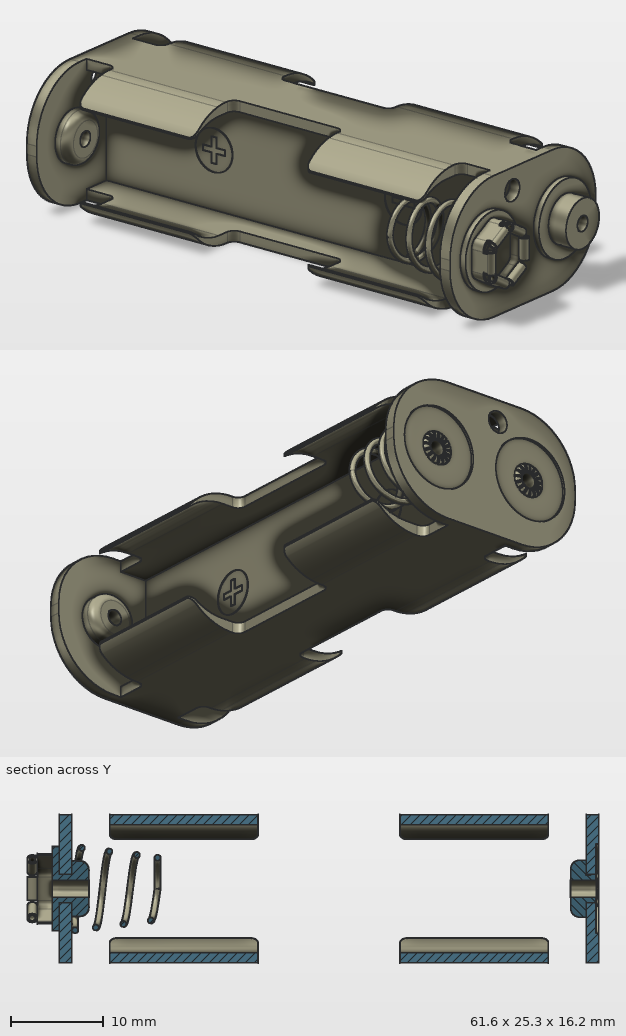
import cadquery as cq
import math


housing_length = 58.12
plate_width = 25.3
plate_height = 16.24
plate_corner_radius = 7.5
plate_thickness = 1.37
cell_offset = 6.37
cell_bay_radius = 6.85
web_thickness = 1.1
spine_half_width = 4.0
shell_half_span = 10.7
shell_start = 5.43
shell_length = 16.0
shell_tip_radius = 0.75
shell_root_radius = 0.95
shoulder_end = 6.6
shell_outer_radius = 7.0
wire_hole_diameter = 2.55
wire_hole_y = -1.86
wire_hole_z = 5.5
recess_diameter = 9.6
recess_depth = 0.3

mark_diameter = 5.06
mark_depth = 0.1
mark_bar_length = 3.05
mark_bar_width = 0.65
plus_mark_x = 16.1
minus_mark_x = 42.1

bore_diameter = 1.8
shank_diameter = 3.0
button_fillet = 1.0
plain_button_diameter = 6.2
plain_button_height = 1.7
snap_button_diameter = 6.0
snap_button_height = 1.85
curl_diameter = 3.9
curl_slit_count = 16
curl_slit_width = 0.2
flange_diameter = 9.1
flange_thickness = 0.74
stud_diameter = 5.78
stud_height = 2.4
socket_across_flats = 6.95
socket_height = 2.71
socket_wall = 0.22
socket_corner_radius = 1.28
bead_radius = 0.56
petal_slot_depth = 2 * bead_radius

wire_radius = 0.34
wire_clearance = 0.01
spring_tip_radius = 3.33
spring_base_radius = 4.48
spring_pitch = 2.96
active_turns = 3
tip_flat_turns = 0.75
base_flat_turns = 0.25
tail_turns = 0.5
tail_radius = 2.7
points_per_turn = 24

half_height = plate_height / 2


def end_plate():
    return (
        cq.Workplane("YZ")
        .rect(plate_width, plate_height)
        .extrude(plate_thickness)
        .edges("|X")
        .fillet(plate_corner_radius)
    )


def deck_section():
    """Upper deck with both shells at full length."""
    corner_y = plate_width / 2 - plate_corner_radius
    corner_z = half_height - plate_corner_radius
    lean = math.asin((shoulder_end - corner_y) / plate_corner_radius)
    shoulder_z = corner_z + plate_corner_radius * math.cos(lean)

    def shoulder(angle):
        return (
            corner_y + plate_corner_radius * math.sin(angle),
            corner_z + plate_corner_radius * math.cos(angle),
        )

    shell_y = shoulder_end - shell_outer_radius * math.sin(lean)
    shell_z = shoulder_z - shell_outer_radius * math.cos(lean)
    tip_lean = math.asin((shell_half_span - shell_y) / shell_outer_radius)

    def shell(angle):
        return (
            shell_y + shell_outer_radius * math.sin(angle),
            shell_z + shell_outer_radius * math.cos(angle),
        )

    bay_lean = math.asin((shell_half_span - cell_offset) / cell_bay_radius)

    def bay(angle):
        return (
            cell_offset + cell_bay_radius * math.sin(angle),
            cell_bay_radius * math.cos(angle),
        )

    half = (
        cq.Workplane("YZ")
        .moveTo(0, half_height)
        .lineTo(corner_y, half_height)
        .threePointArc(shoulder(lean / 2), shoulder(lean))
        .threePointArc(shell((lean + tip_lean) / 2), shell(tip_lean))
        .lineTo(*bay(bay_lean))
        .threePointArc(bay(bay_lean / 2), bay(0))
        .lineTo(0, cell_bay_radius)
        .close()
        .extrude(housing_length)
    )
    return half.union(half.mirror("XZ"))


def deck_outline():
    """Plan shape of the deck: a spine with two pads that become the shells."""
    plan = cq.Workplane("XY").box(
        housing_length, 2 * spine_half_width, plate_height, centered=(False, True, True)
    )
    for start in (shell_start, housing_length - shell_start - shell_length):
        pad = (
            cq.Workplane("XY")
            .box(shell_length, 2 * shell_half_span, plate_height, centered=(False, True, True))
            .edges("|Z")
            .fillet(shell_tip_radius)
            .translate((start, 0, 0))
        )
        plan = plan.union(pad)

    def is_root(edge):
        middle = edge.Center()
        on_spine_side = abs(abs(middle.y) - spine_half_width) < shell_root_radius
        return on_spine_side and plate_thickness < middle.x < housing_length - plate_thickness

    roots = plan.edges("|Z").filter(is_root)
    return plan.newObject(roots.vals()).fillet(shell_root_radius)


def polarity_mark(is_plus):
    """Disc with a raised symbol, as a cutter standing on the XZ plane and reaching toward +Y."""
    disc = cq.Workplane("XZ").circle(mark_diameter / 2).extrude(-mark_depth)
    disc = disc.cut(cq.Workplane("XZ").rect(mark_bar_length, mark_bar_width).extrude(-mark_depth))
    if is_plus:
        disc = disc.cut(cq.Workplane("XZ").rect(mark_bar_width, mark_bar_length).extrude(-mark_depth))
    return disc


def turned_end_for_end(shape):
    """Half turn about the vertical line through the middle of the housing."""
    middle = housing_length / 2
    return shape.rotate((middle, 0, 0), (middle, 0, 1), 180)


def build_housing():
    deck = deck_section().intersect(deck_outline())
    web = cq.Workplane("XY").box(
        housing_length, web_thickness, plate_height, centered=(False, True, True)
    )
    far_plate = end_plate().translate((housing_length - plate_thickness, 0, 0))
    body = deck.union(deck.mirror("XY")).union(web).union(end_plate()).union(far_plate)

    for plate_start in (0, housing_length - plate_thickness):
        holes = (
            cq.Workplane("YZ", origin=(plate_start, 0, 0))
            .pushPoints([(-cell_offset, 0), (cell_offset, 0)])
            .circle(shank_diameter / 2)
            .extrude(plate_thickness)
        )
        wire_hole = (
            cq.Workplane("YZ", origin=(plate_start, wire_hole_y, wire_hole_z))
            .circle(wire_hole_diameter / 2)
            .extrude(plate_thickness)
        )
        body = body.cut(holes).cut(wire_hole)

    recesses = (
        cq.Workplane("YZ")
        .pushPoints([(-cell_offset, 0), (cell_offset, 0)])
        .circle(recess_diameter / 2)
        .extrude(recess_depth)
    )
    body = body.cut(recesses)

    for mark_x, is_plus in ((plus_mark_x, True), (minus_mark_x, False)):
        mark = polarity_mark(is_plus).translate((mark_x, -web_thickness / 2, 0))
        body = body.cut(mark).cut(turned_end_for_end(mark))
    return body




def disc_along_x(start, length, diameter):
    return cq.Workplane("YZ", origin=(start, 0, 0)).circle(diameter / 2).extrude(length)


def button(diameter, height, shank_length):
    head = disc_along_x(-height, height, diameter).faces("<X").edges().fillet(button_fillet)
    return head.union(disc_along_x(0, shank_length, shank_diameter))


def bored(contact):
    box = contact.val().BoundingBox()
    return contact.cut(disc_along_x(box.xmin, box.xlen, bore_diameter))


def coil_point(x, radius, turn):
    """Wire centre at a number of turns past the mid height of the open side (-Y)."""
    angle = 2 * math.pi * turn
    return cq.Vector(x, -radius * math.cos(angle), -radius * math.sin(angle))


def coil(first_turn, last_turn, first_x, last_x, first_radius, last_radius):
    """Length of wire whose position and radius change evenly with the turns."""
    steps = round((last_turn - first_turn) * points_per_turn)
    points = []
    for step in range(steps + 1):
        part = step / steps
        x = first_x + (last_x - first_x) * part
        radius = first_radius + (last_radius - first_radius) * part
        points.append(coil_point(x, radius, first_turn + (last_turn - first_turn) * part))
    path = cq.Edge.makeSpline(points)
    start = cq.Plane(origin=path.startPoint(), normal=path.tangentAt(0))
    return cq.Workplane(start).circle(wire_radius).sweep(cq.Workplane(obj=path))


def spring():
    """Conical spring: flat tip coil, open turns, flat base coil and a tail under the button."""
    base_x = -wire_radius - wire_clearance
    tip_x = base_x - spring_pitch * active_turns
    base_end = active_turns + base_flat_turns
    tip_coil = coil(-tip_flat_turns, 0, tip_x, tip_x, spring_tip_radius, spring_tip_radius)
    open_coil = coil(0, active_turns, tip_x, base_x, spring_tip_radius, spring_base_radius)
    base_coil = coil(active_turns, base_end, base_x, base_x, spring_base_radius, spring_base_radius)
    tail = coil(base_end, base_end + tail_turns, base_x, base_x, spring_base_radius, tail_radius)
    return tip_coil.union(open_coil).union(base_coil).union(tail)


def plain_end_contact():
    """Button whose shank is slit and rolled over in the recess of the plain end."""
    floor = plate_thickness - recess_depth
    rim = curl_diameter / 2
    inner = bore_diameter / 2
    curl = (
        cq.Workplane("XY")
        .moveTo(floor, inner)
        .threePointArc((plate_thickness, (inner + rim) / 2), (floor, rim))
        .close()
        .revolve(360, (0, 0, 0), (1, 0, 0))
    )
    slit = cq.Workplane("XY").box(
        recess_depth, rim, curl_slit_width, centered=(False, False, True)
    ).translate((floor, 0, 0))
    for index in range(curl_slit_count):
        curl = curl.cut(slit.rotate((0, 0, 0), (1, 0, 0), index * 360 / curl_slit_count))
    return bored(button(plain_button_diameter, plain_button_height, floor).union(curl))


def flanged_button():
    head = button(snap_button_diameter, snap_button_height, plate_thickness)
    return head.union(disc_along_x(plate_thickness, flange_thickness, flange_diameter))


def stud_contact():
    foot = plate_thickness + flange_thickness
    return bored(flanged_button().union(disc_along_x(foot, stud_height, stud_diameter)))


def hexagon_prism(start, length, across_flats, corner_radius):
    """Hexagon with flats toward +Y and -Y and rounded corners."""
    return (
        cq.Workplane("YZ", origin=(start, 0, 0))
        .transformed(rotate=(0, 0, 90))
        .polygon(6, across_flats / math.cos(math.pi / 6))
        .extrude(length)
        .edges("|X")
        .fillet(corner_radius)
    )


def socket_contact():
    """Hexagonal cup slit at its corners, each wall ending in a rolled bead."""
    foot = plate_thickness + flange_thickness
    bead_x = foot + socket_height - bead_radius
    wall_height = socket_height - bead_radius
    inner_flats = socket_across_flats - 2 * socket_wall
    inner_corner = socket_corner_radius - socket_wall
    cup = hexagon_prism(foot, wall_height, socket_across_flats, socket_corner_radius)
    cup = cup.cut(hexagon_prism(foot, wall_height, inner_flats, inner_corner))

    corner_setback = socket_corner_radius * math.tan(math.pi / 6)
    petal_width = socket_across_flats * math.tan(math.pi / 6) - 2 * corner_setback
    apothem = socket_across_flats / 2
    slot_width = 2 * corner_setback
    slot = cq.Workplane("XY").box(
        petal_slot_depth, slot_width, socket_across_flats, centered=(False, True, False)
    ).translate((foot + socket_height - petal_slot_depth, 0, 0))
    bead = (
        cq.Workplane("XY", origin=(bead_x, -apothem + bead_radius, -petal_width / 2))
        .circle(bead_radius)
        .circle(bead_radius - socket_wall)
        .extrude(petal_width)
    )
    for index in range(6):
        cup = cup.cut(slot.rotate((0, 0, 0), (1, 0, 0), index * 60))
    for index in range(6):
        cup = cup.union(bead.rotate((0, 0, 0), (1, 0, 0), index * 60))
    return bored(flanged_button().union(cup))


def at_snap_end(contact, y):
    return contact.translate((housing_length - plate_thickness, y, 0))


def at_plain_end(contact, y):
    return turned_end_for_end(at_snap_end(contact, -y))


housing = build_housing()
plain_button_contact = at_plain_end(plain_end_contact(), -cell_offset)
plain_spring_contact = at_plain_end(plain_end_contact().union(spring()), cell_offset)
snap_stud_contact = at_snap_end(stud_contact(), cell_offset)
snap_socket_contact = at_snap_end(socket_contact().union(spring()), -cell_offset)

result = cq.Compound.makeCompound(
    [
        housing.val(),
        plain_button_contact.val(),
        plain_spring_contact.val(),
        snap_stud_contact.val(),
        snap_socket_contact.val(),
    ]
)